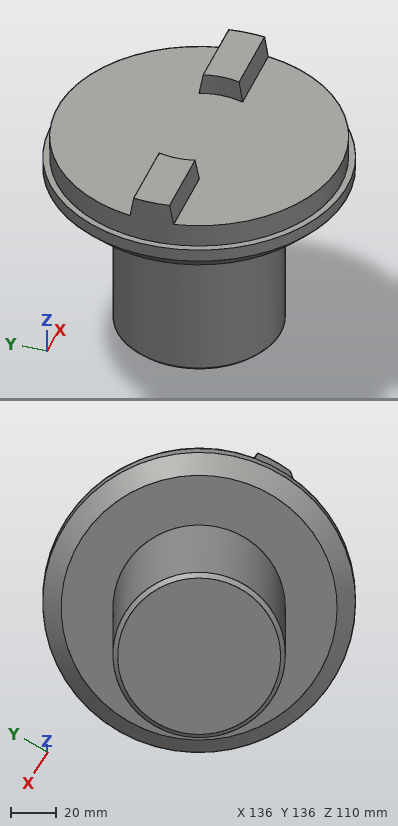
import cadquery as cq

shaft_diameter = 75.0
shaft_length = 75.0
shaft_chamfer = 2.0

flange_diameter = 136.0
cone_small_diameter = 120.0
cone_height = 8.0
flange_height = 6.0

disc_diameter = 130.0
disc_height = 11.0

lug_height = 10.0
lug_base_width = 20.0
lug_top_width = 16.5
lug_inner_diameter = 62.0

cone_top = shaft_length + cone_height
flange_top = cone_top + flange_height
disc_top = flange_top + disc_height
lug_top = disc_top + lug_height


def make_body():
    """Revolve the half section of shaft, flange and disc about Z."""
    half_section = [
        (0, 0),
        (shaft_diameter / 2 - shaft_chamfer, 0),
        (shaft_diameter / 2, shaft_chamfer),
        (shaft_diameter / 2, shaft_length),
        (cone_small_diameter / 2, shaft_length),
        (flange_diameter / 2, cone_top),
        (flange_diameter / 2, flange_top),
        (disc_diameter / 2, flange_top),
        (disc_diameter / 2, disc_top),
        (0, disc_top),
    ]
    return cq.Workplane("XZ").polyline(half_section).close().revolve(360, (0, 0), (0, 1))


def make_lugs():
    """Trim a bar of trapezoidal section along X to a ring, leaving two lugs."""
    bar = (
        cq.Workplane("YZ")
        .polyline([
            (-lug_base_width / 2, disc_top),
            (lug_base_width / 2, disc_top),
            (lug_top_width / 2, lug_top),
            (-lug_top_width / 2, lug_top),
        ])
        .close()
        .extrude(disc_diameter / 2, both=True)
    )
    ring = (
        cq.Workplane("XY", origin=(0, 0, disc_top))
        .circle(disc_diameter / 2)
        .circle(lug_inner_diameter / 2)
        .extrude(lug_height)
    )
    return bar.intersect(ring)


result = make_body().union(make_lugs())